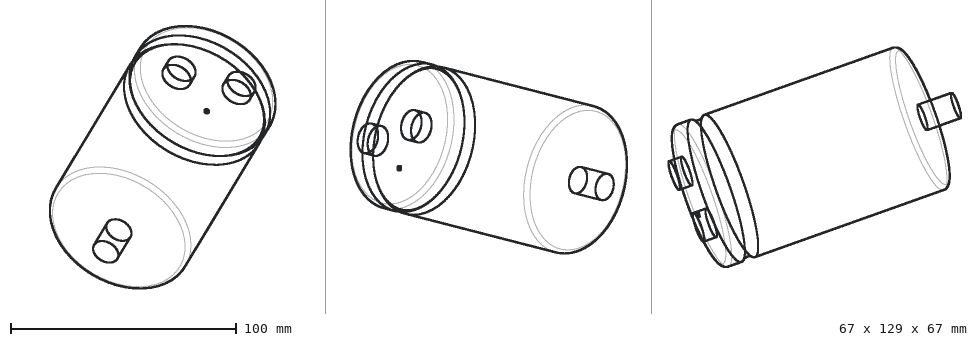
import cadquery as cq

can_diameter = 67.0
can_length = 107.0
rim_radius = 2.0

groove_width = 6.4
groove_depth = 1.35
rear_band_length = 8.3

stud_diameter = 12.0
stud_length = 16.0

terminal_diameter = 13.5
terminal_length = 6.0
terminal_spacing = 28.5

vent_diameter = 2.0
vent_height = 0.4
vent_drop = 15.7


def rod(diameter, length, start_y, x=0.0, z=0.0):
    """Cylinder parallel to Y, running from start_y toward +Y."""
    base = cq.Plane(origin=(x, start_y, z), xDir=(1, 0, 0), normal=(0, 1, 0))
    return cq.Workplane(base).circle(diameter / 2).extrude(length)


def make_can():
    """Cylinder with rounded rims and the concave groove, revolved about Y."""
    can_radius = can_diameter / 2
    groove_rear = can_length - rear_band_length
    groove_front = groove_rear - groove_width
    groove_middle = (groove_front + groove_rear) / 2
    profile = (
        cq.Workplane("XY")
        .lineTo(can_radius, 0)
        .lineTo(can_radius, groove_front)
        .threePointArc((can_radius - groove_depth, groove_middle), (can_radius, groove_rear))
        .lineTo(can_radius, can_length)
        .lineTo(0, can_length)
        .close()
    )
    can = profile.revolve(360, (0, 0, 0), (0, 1, 0))
    return can.faces("<Y or >Y").edges().fillet(rim_radius)


def make_terminals():
    """Two equal terminals, side by side along X on the rear face."""
    left = rod(terminal_diameter, terminal_length, can_length, x=-terminal_spacing / 2)
    right = rod(terminal_diameter, terminal_length, can_length, x=terminal_spacing / 2)
    return left.add(right)


def make_stud():
    return rod(stud_diameter, stud_length, -stud_length)


def make_vent():
    return rod(vent_diameter, vent_height, can_length, z=-vent_drop)


result = make_can().union(make_stud()).union(make_terminals()).union(make_vent())